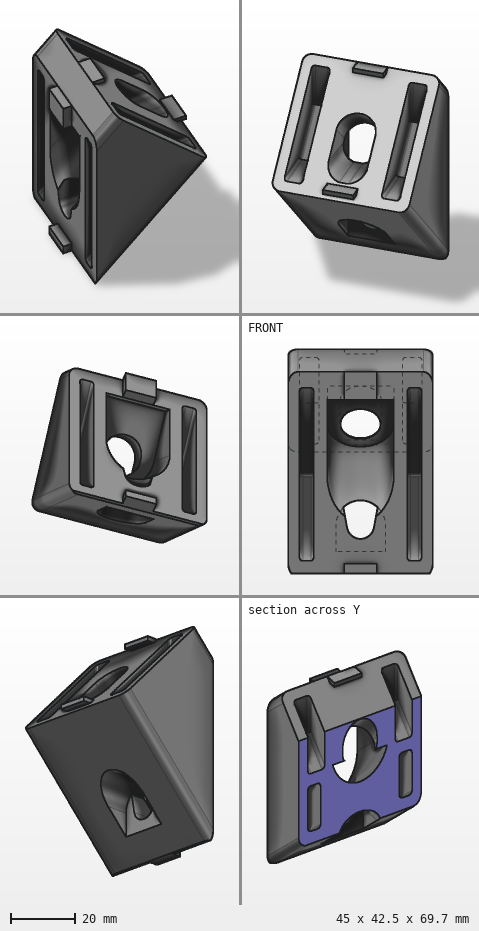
import cadquery as cq
import math


ROOT_2 = math.sqrt(2)

side = 45.0
corner_radius = 3.0
lip = 10.0
foot_cut = 1.0
tip_y = lip / ROOT_2
face_height = side * ROOT_2 - foot_cut
height = face_height + tip_y
block_depth = (height + tip_y) / ROOT_2

tab_width = 10.0
tab_reach = 3.0
slope_tab_thickness = 1.5
upper_tab_height = 8.7
lower_tab_height = 3.0

margin = 3.5
slot_radius = 1.0
slope_slot_width = 6.0
face_slot_width = 4.5
wall = 10.0

pocket_width = 20.8
bolt_slot_width = 12.75
bolt_neck_width = 12.25
bolt_slot_flat = 3.0
bolt_slot_drop = 16.4
bolt_neck_drop = 6.8

bolt_z = 15.0
bolt_radius = 4.2
bolt_taper = math.radians(10.4)
head_radius = 7.7
seat_y = 8.0


def slope_plane(depth=0.0):
    """Plane parallel to the slope, `depth` below it; local X = X, local Y runs down from the top edge."""
    inset = depth / ROOT_2
    return cq.Workplane(cq.Plane(origin=(0, tip_y - inset, height - inset), xDir=(1, 0, 0), normal=(0, 1, 1)))


def box_between(x_range, y_range, z_range):
    size = [limits[1] - limits[0] for limits in (x_range, y_range, z_range)]
    corner = (x_range[0], y_range[0], z_range[0])
    return cq.Workplane("XY").box(*size, centered=False).translate(corner)


def make_block():
    prism = slope_plane().center(0, side / 2).rect(side, side).extrude(-block_depth)
    prism = prism.edges("|(0,1,1)").fillet(corner_radius)
    return prism.intersect(box_between((-side, side), (0, side), (0, height)))


def make_slope_tab(top_z):
    """Level tab standing out of the slope."""
    slope_y = tip_y + height - top_z
    return box_between(
        (-tab_width / 2, tab_width / 2),
        (slope_y, slope_y + tab_reach * ROOT_2),
        (top_z - slope_tab_thickness, top_z),
    )


def make_face_tab(bottom_z, tab_height):
    """Tab standing out of the vertical face."""
    return box_between(
        (-tab_width / 2, tab_width / 2),
        (-tab_reach, 0),
        (bottom_z, bottom_z + tab_height),
    )


def make_slope_slot(left_x):
    """Slot sunk straight down from the slope: floor partly level, partly parallel to the slope."""
    near_y = tip_y + margin / ROOT_2
    far_y = tip_y + (side - margin) / ROOT_2
    floor_z = height + tip_y - far_y
    wall_drop = wall * ROOT_2
    profile = [
        (far_y, height),
        (far_y, floor_z),
        (far_y - wall_drop, floor_z),
        (near_y, height + tip_y - wall_drop - near_y),
        (near_y, height),
    ]
    slot = cq.Workplane("YZ").polyline(profile).close().extrude(slope_slot_width)
    slot = slot.edges("#X").edges("not >Z").fillet(slot_radius)
    return slot.translate((left_x, 0, 0))


def make_face_slot(left_x):
    """Triangular slot in the vertical face, its walls parallel to the slope and to the underside."""
    roof_depth = wall + margin
    slot_length = side
    return (
        slope_plane(roof_depth)
        .center(left_x + face_slot_width / 2, side - margin - slot_length / 2)
        .rect(face_slot_width, slot_length)
        .extrude(-block_depth)
        .edges()
        .fillet(slot_radius)
    )


def make_bolt_pocket():
    """U-shaped pocket square to the slope, leaving a wall under it; opens on the vertical face."""
    radius = pocket_width / 2
    top = upper_tab_height / ROOT_2
    middle = side / 2
    return (
        slope_plane(wall)
        .moveTo(-radius, top)
        .lineTo(radius, top)
        .lineTo(radius, middle)
        .threePointArc((0, middle + radius), (-radius, middle))
        .close()
        .extrude(-block_depth)
    )


def bolt_slot_outline(depth, width, drop):
    """Outline across the slope bolt hole: a half circle above, a rounded end with a short flat below."""
    radius = width / 2
    half_flat = bolt_slot_flat / 2
    lower_y = drop - math.sqrt(radius**2 - half_flat**2)
    half_angle = math.acos(half_flat / radius) / 2
    arc_x = radius * math.cos(half_angle)
    arc_y = lower_y + radius * math.sin(half_angle)
    return (
        slope_plane(depth)
        .center(0, side / 2)
        .moveTo(-radius, 0)
        .threePointArc((0, -radius), (radius, 0))
        .lineTo(radius, lower_y)
        .threePointArc((arc_x, arc_y), (half_flat, drop))
        .lineTo(-half_flat, drop)
        .threePointArc((-arc_x, arc_y), (-radius, lower_y))
        .close()
        .val()
    )


def make_slope_bolt_hole():
    """Nearly round hole at the pocket floor, drawn out downhill into a long slot on the slope."""
    outer = bolt_slot_outline(0, bolt_slot_width, bolt_slot_drop)
    inner = bolt_slot_outline(wall, bolt_neck_width, bolt_neck_drop)
    return cq.Workplane(cq.Solid.makeLoft([outer, inner], True))


def make_face_bolt_hole():
    """Hole along Y, round below and spreading upwards until it reaches the head circle."""
    tangent_x = bolt_radius * math.cos(bolt_taper)
    tangent_z = -bolt_radius * math.sin(bolt_taper)
    side_length = math.sqrt(head_radius**2 - bolt_radius**2)
    spread_x = tangent_x + side_length * math.sin(bolt_taper)
    spread_z = tangent_z + side_length * math.cos(bolt_taper)
    return (
        cq.Workplane("XZ", origin=(0, 0, bolt_z))
        .moveTo(-tangent_x, tangent_z)
        .threePointArc((0, -bolt_radius), (tangent_x, tangent_z))
        .lineTo(spread_x, spread_z)
        .threePointArc((0, head_radius), (-spread_x, spread_z))
        .close()
        .extrude(-seat_y)
    )


def make_head_recess():
    """Clearance for the bolt head: round above, straight-sided down to the underside."""
    return (
        cq.Workplane("XZ", origin=(0, seat_y, bolt_z))
        .moveTo(-head_radius, -bolt_z)
        .lineTo(-head_radius, 0)
        .threePointArc((0, head_radius), (head_radius, 0))
        .lineTo(head_radius, -bolt_z)
        .close()
        .extrude(-side)
    )


result = make_block()

lower_slope_tab_top = height - (side - corner_radius) / ROOT_2 + slope_tab_thickness
for top_z in (height, lower_slope_tab_top):
    result = result.union(make_slope_tab(top_z))
result = result.union(make_face_tab(face_height - upper_tab_height, upper_tab_height))
result = result.union(make_face_tab(0, lower_tab_height))

outer_x = side / 2 - margin
for make_slot, slot_width in ((make_slope_slot, slope_slot_width), (make_face_slot, face_slot_width)):
    result = result.cut(make_slot(-outer_x)).cut(make_slot(outer_x - slot_width))

result = result.cut(make_bolt_pocket())
result = result.cut(make_slope_bolt_hole())
result = result.cut(make_face_bolt_hole())
result = result.cut(make_head_recess())